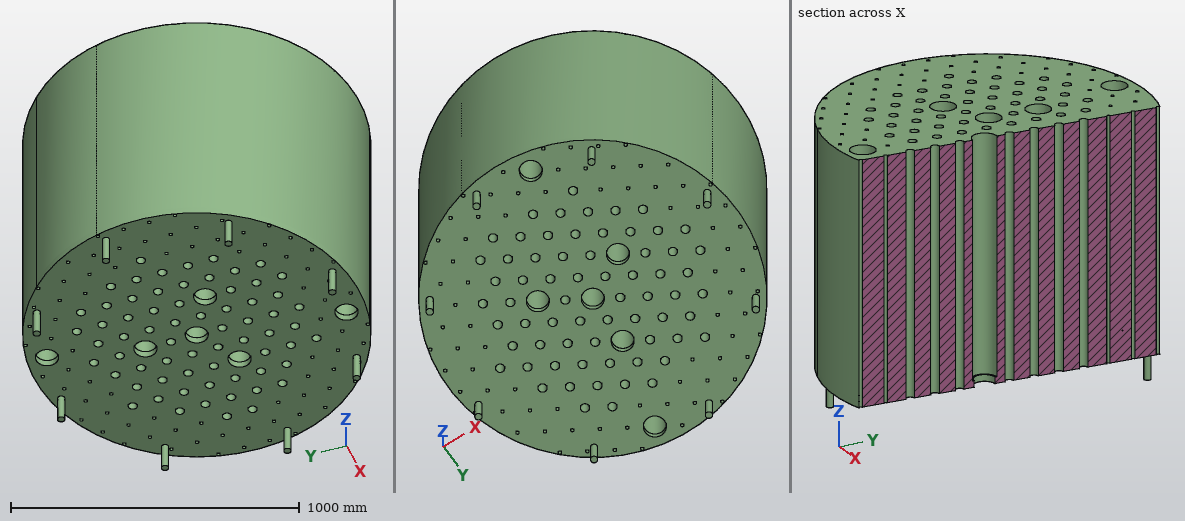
import cadquery as cq
import math

DRUM_DIAMETER = 1206.5
TOTAL_HEIGHT = 1023.87
PLATE_THICKNESS = 25.4

PIN_DIAMETER = 25.4
PIN_LENGTH = 101.6
PIN_COUNT = 8
PIN_CIRCLE_RADIUS = 564.5
PIN_START_ANGLE = 32.4

PITCH = 95.25
COLUMN_SPACING = PITCH * math.sin(math.radians(60))
BODY_PORT_DIAMETER = 92.76
PLATE_PORT_DIAMETER = 79.76
CHANNEL_DIAMETER = 31.75
SMALL_DIAMETER = 11.68
LATTICE_RADIUS = 6.3 * PITCH
CHANNEL_RADIUS = 4.4 * PITCH

PORTS = [(0, 0), (0, 2), (-2, -1), (2, -1), (-1, 5.5), (1, -5.5)]
SMALL_AMONG_CHANNELS = [(2, 4), (3, -3.5), (-5, -0.5)]

plate_bottom = PIN_LENGTH
plate_top = plate_bottom + PLATE_THICKNESS
body_height = TOTAL_HEIGHT - plate_top


def position(site):
    """X and Y of a lattice site."""
    column, row = site
    return (column * COLUMN_SPACING, row * PITCH)


def radius(site):
    """Distance of a lattice site from the drum axis."""
    return math.hypot(*position(site))


def lattice_sites():
    """All lattice sites that lie inside the lattice radius."""
    last_column = math.floor(LATTICE_RADIUS / COLUMN_SPACING)
    last_row = math.ceil(LATTICE_RADIUS / PITCH)
    sites = []
    for column in range(-last_column, last_column + 1):
        row_offset = 0.5 * (column % 2)
        for step in range(-last_row, last_row + 1):
            site = (column, step + row_offset)
            if radius(site) <= LATTICE_RADIUS:
                sites.append(site)
    return sites


def hole_diameter(site, port_diameter):
    """Diameter of the hole at a lattice site."""
    if site in PORTS:
        return port_diameter
    if radius(site) <= CHANNEL_RADIUS and site not in SMALL_AMONG_CHANNELS:
        return CHANNEL_DIAMETER
    return SMALL_DIAMETER


def drilled_disc(bottom, thickness, port_diameter):
    """Disc of the drum diameter with every lattice hole passing through it."""
    outline = cq.Workplane("XY", origin=(0, 0, bottom)).circle(DRUM_DIAMETER / 2)
    for site in lattice_sites():
        hole_radius = hole_diameter(site, port_diameter) / 2
        outline = outline.moveTo(*position(site)).circle(hole_radius)
    return outline.extrude(thickness)


def support_pins():
    """Ring of pins reaching down from the base plate."""
    return (
        cq.Workplane("XY")
        .polarArray(PIN_CIRCLE_RADIUS, PIN_START_ANGLE, 360, PIN_COUNT)
        .circle(PIN_DIAMETER / 2)
        .extrude(PIN_LENGTH)
    )


base_plate = drilled_disc(plate_bottom, PLATE_THICKNESS, PLATE_PORT_DIAMETER)
body = drilled_disc(plate_top, body_height, BODY_PORT_DIAMETER)

result = base_plate.union(body, clean=False).union(support_pins(), clean=False)